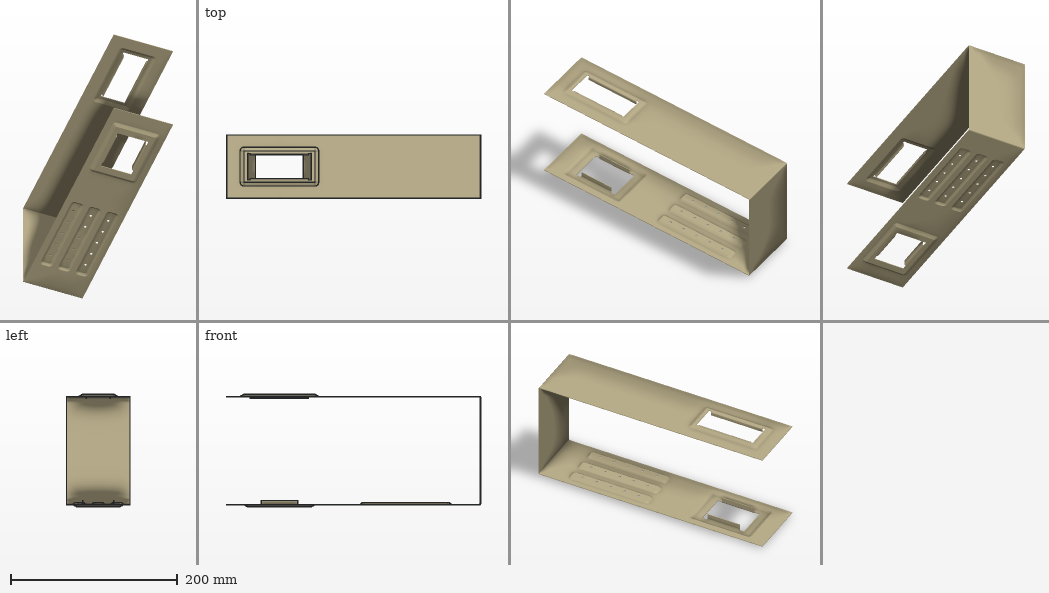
import cadquery as cq
import math

length = 304.8
width = 76.2
thickness = 0.8
bend_radius = 1.8
panel_rise = 2.5
panel_slope_run = 4.5
overall_height = 135.3
fold_height = overall_height - 2 * panel_rise

corner_radius = 5.0
window_center_x = 63.25
upper_panel = (94.5, 47.0)
upper_window = (76.8, 32.0)
upper_tab_length = 70.0
upper_tab_drop = 5.0
lower_panel = (85.0, 60.5)
lower_window = (57.0, 39.5)
lower_tab_length = 44.2
lower_tab_drop = 8.0

rib_size = (110.0, 16.2)
rib_rise = 2.3
rib_slope_run = 3.0
rib_center_x = 215.0
rib_pitch = 22.5
rib_count = 3
vent_diameter = 3.0
vent_pitch = 19.2
vents_per_rib = 5


def box(size_x, size_y, size_z, center):
    return cq.Workplane("XY").box(size_x, size_y, size_z).translate(center)


def frustum(size, rise, slope_run, shrink):
    """Rounded rectangle at z = 0 that narrows on its way up to z = rise."""
    outline = cq.Sketch().rect(size[0] - 2 * shrink, size[1] - 2 * shrink)
    outline = outline.vertices().fillet(corner_radius - shrink)
    taper = math.degrees(math.atan2(slope_run, rise))
    return cq.Workplane("XY").placeSketch(outline).extrude(rise, taper=taper)


def emboss(sheet, size, rise, slope_run, place):
    """Press a panel of even thickness out of a sheet whose outer face is at z = 0."""
    shrink = thickness * math.tan(math.atan2(rise, slope_run) / 2)
    raised = frustum(size, rise, slope_run, 0)
    hollow = frustum(size, rise, slope_run, shrink).translate((0, 0, -thickness))
    return sheet.union(place(raised)).cut(place(hollow))


def tab(tab_length, drop):
    """Fold from a window edge at y = 0 toward +Y and down; the panel face is z = 0."""
    inner_radius = bend_radius - thickness
    diagonal = math.sqrt(0.5)
    return (
        cq.Workplane("YZ")
        .moveTo(0, 0)
        .threePointArc(
            (bend_radius * diagonal, bend_radius * (diagonal - 1)),
            (bend_radius, -bend_radius),
        )
        .lineTo(bend_radius, -drop)
        .lineTo(inner_radius, -drop)
        .lineTo(inner_radius, -bend_radius)
        .threePointArc(
            (inner_radius * diagonal, inner_radius * diagonal - bend_radius),
            (0, -thickness),
        )
        .close()
        .extrude(tab_length / 2, both=True)
    )


def framed_window(sheet, panel, window, tab_length, tab_drop, place):
    """Emboss a panel, open its window and fold a tab in along both long edges."""
    sheet = emboss(sheet, panel, panel_rise, panel_slope_run, place)
    opening = box(window[0], window[1], thickness * 2, (0, 0, panel_rise - thickness / 2))
    sheet = sheet.cut(place(opening))
    near_tab = tab(tab_length, tab_drop).translate((0, -window[1] / 2, panel_rise))
    far_tab = near_tab.mirror("XZ")
    return sheet.union(place(near_tab)).union(place(far_tab))


def on_upper_flange(shape):
    return shape.translate((window_center_x, 0, fold_height))


def on_lower_flange(shape):
    return shape.mirror("XY").translate((window_center_x, 0, 0))


def folded_sheet():
    block = box(length, width, fold_height, (length / 2, 0, fold_height / 2))
    block = block.edges(">X and |Y").fillet(bend_radius)
    inside = box(length, width, fold_height - 2 * thickness, (length / 2 - thickness, 0, fold_height / 2))
    inside = inside.edges(">X and |Y").fillet(bend_radius - thickness)
    return block.cut(inside)


def vent_rib(sheet, y):
    def place(shape):
        return shape.translate((rib_center_x, y, thickness))

    sheet = emboss(sheet, rib_size, rib_rise, rib_slope_run, place)
    vents = (
        cq.Workplane("XY")
        .rarray(vent_pitch, 3, vents_per_rib, 1)
        .circle(vent_diameter / 2)
        .extrude(rib_rise + thickness)
    )
    return sheet.cut(place(vents))


result = folded_sheet()
result = framed_window(
    result, upper_panel, upper_window, upper_tab_length, upper_tab_drop, on_upper_flange
)
result = framed_window(
    result, lower_panel, lower_window, lower_tab_length, lower_tab_drop, on_lower_flange
)
for row in range(rib_count):
    result = vent_rib(result, (row - (rib_count - 1) / 2) * rib_pitch)